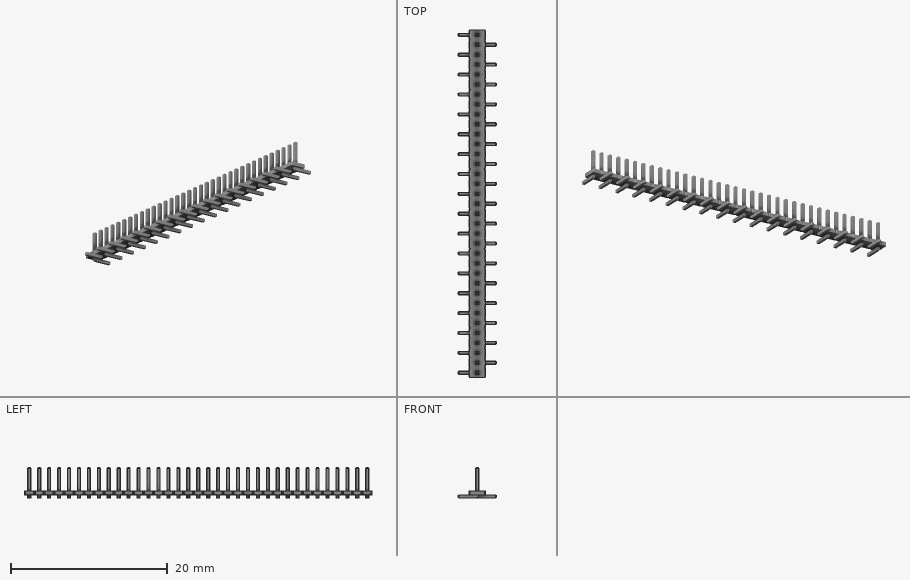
import cadquery as cq

pin_count = 35
pitch = 1.27
pin_size = 0.4
foot_span = 4.9
total_height = 3.9
tip_chamfer = 0.1
bend_radius = 0.4

body_width = 2.1
body_bottom = pin_size
body_top = 0.9
notch_size = pitch / 10

body_height = body_top - body_bottom
body_length = pin_count * pitch
half_pin = pin_size / 2
half_width = body_width / 2
half_length = body_length / 2
foot_reach = foot_span / 2


def make_body():
    """Plastic strip with V notches on both long sides at every pitch boundary.

    The notches at the two ends are cut in half by the end faces, which leaves chamfered corners.
    """
    body_plane = cq.Workplane("XY", origin=(0, 0, body_bottom))
    body = body_plane.rect(body_width, body_length).extrude(body_height)

    notches = body_plane
    for boundary in range(pin_count + 1):
        y = boundary * pitch - half_length
        for side in (-1, 1):
            notches = notches.polyline([
                (side * half_width, y - notch_size),
                (side * (half_width - notch_size), y),
                (side * half_width, y + notch_size),
            ]).close()
    return body.cut(notches.extrude(body_height))


def make_left_pin():
    """L-shaped square pin centred on y = 0, its foot pointing to -X and both tips chamfered."""
    pin = (
        cq.Workplane("XZ", origin=(0, half_pin, 0))
        .moveTo(-foot_reach, 0)
        .lineTo(half_pin - bend_radius, 0)
        .radiusArc((half_pin, bend_radius), -bend_radius)
        .lineTo(half_pin, total_height)
        .lineTo(-half_pin, total_height)
        .lineTo(-half_pin, pin_size)
        .lineTo(-foot_reach, pin_size)
        .close()
        .extrude(pin_size)
    )
    return pin.faces(">Z or <X").chamfer(tip_chamfer)


def make_pin_row():
    """All pins along Y, starting and ending with a left-pointing foot."""
    left_pin = make_left_pin()
    right_pin = left_pin.mirror("YZ")
    first_pin_y = pitch / 2 - half_length
    pins = []
    for index in range(pin_count):
        pin = left_pin if index % 2 == 0 else right_pin
        pins.append(pin.translate((0, first_pin_y + index * pitch, 0)).val())
    return pins


header = make_body().val().fuse(*make_pin_row())
result = cq.Workplane("XY").newObject(header.Solids())